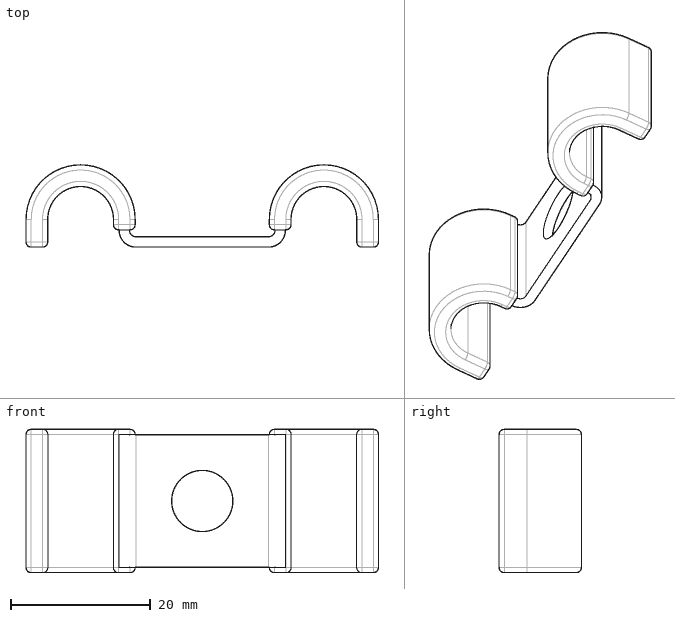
import cadquery as cq

length = 50.55
depth = 11.85
height = 20.6

strip_thickness = 1.5
coating = 0.8
edge_radius = 0.75
hook_thickness = strip_thickness + 2 * coating
hook_outer_radius = 7.85
hook_inner_radius = hook_outer_radius - hook_thickness
inner_leg_length = 1.5

bend_outer_radius = 2.45
bend_inner_radius = bend_outer_radius - strip_thickness
strip_height = height - 2 * edge_radius
hole_diameter = 8.75

hook_center_x = length / 2 - hook_outer_radius
hook_center_y = depth - hook_outer_radius
inner_leg_end_y = hook_center_y - inner_leg_length
strip_half_length = hook_center_x - hook_inner_radius - coating


def make_right_hook():
    """Half-round hook with a long outer leg, a short inner leg and all edges rounded."""
    outer_right = hook_center_x + hook_outer_radius
    outer_left = hook_center_x - hook_outer_radius
    inner_right = hook_center_x + hook_inner_radius
    inner_left = hook_center_x - hook_inner_radius
    return (
        cq.Workplane("XY")
        .moveTo(outer_right, 0)
        .lineTo(outer_right, hook_center_y)
        .threePointArc((hook_center_x, depth), (outer_left, hook_center_y))
        .lineTo(outer_left, inner_leg_end_y)
        .lineTo(inner_left, inner_leg_end_y)
        .lineTo(inner_left, hook_center_y)
        .threePointArc(
            (hook_center_x, hook_center_y + hook_inner_radius),
            (inner_right, hook_center_y),
        )
        .lineTo(inner_right, 0)
        .close()
        .extrude(height / 2, both=True)
        .edges()
        .fillet(edge_radius)
    )


def make_strip():
    """U-bent strip whose ends run up into the inner legs of the hooks."""
    outer_block = cq.Workplane("XY").box(
        2 * strip_half_length, hook_center_y, strip_height, centered=(True, False, True)
    )
    inner_block = (
        cq.Workplane("XY")
        .box(
            2 * (strip_half_length - strip_thickness),
            hook_center_y,
            strip_height,
            centered=(True, False, True),
        )
        .translate((0, strip_thickness, 0))
    )
    outer_block = outer_block.edges("|Z and <Y").fillet(bend_outer_radius)
    inner_block = inner_block.edges("|Z and <Y").fillet(bend_inner_radius)
    return outer_block.cut(inner_block)


def make_hole():
    """Round mounting hole through the middle of the strip."""
    return cq.Workplane("XZ").circle(hole_diameter / 2).extrude(-strip_thickness)


right_hook = make_right_hook()
left_hook = right_hook.mirror("YZ")
result = make_strip().union(right_hook).union(left_hook).cut(make_hole())